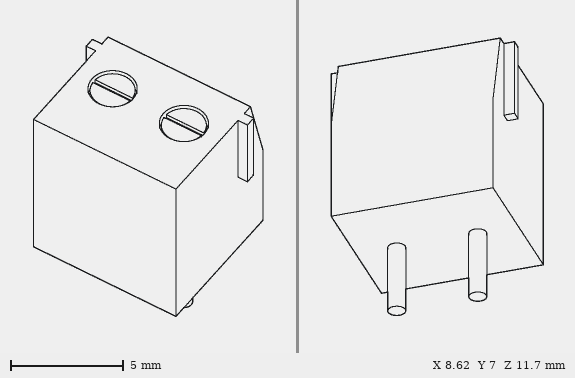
import cadquery as cq

pole_count = 2
overall_height = 11.67
overall_width = 8.62
housing_width = 7.62
housing_depth = 7.0
housing_height = 8.38
pole_pitch = housing_width / pole_count

upper_zone_height = 3.73
slope_setback = 1.0
rib_thickness = 0.5
rib_rear_inset = 1.5

well_diameter = 2.19
well_depth = 0.5
screw_diameter = 2.01
screw_recess = 0.1
slot_width = 0.2
slot_depth = 0.2

pin_diameter = 0.8
pin_length = overall_height - housing_height

rear_y = housing_depth / 2
first_pole_x = (pole_pitch - housing_width) / 2
pole_positions = [(first_pole_x + i * pole_pitch, 0) for i in range(pole_count)]


def make_housing():
    """Block with a sloped rear upper edge, extruded along X."""
    return (
        cq.Workplane("YZ")
        .moveTo(-rear_y, 0)
        .lineTo(rear_y, 0)
        .lineTo(rear_y, housing_height - upper_zone_height)
        .lineTo(rear_y - slope_setback, housing_height)
        .lineTo(-rear_y, housing_height)
        .close()
        .extrude(housing_width / 2, both=True)
    )


def make_ribs():
    """One bar across the housing whose ends stand out as the two side ribs."""
    rib_y = rear_y - rib_rear_inset - rib_thickness / 2
    return (
        cq.Workplane("XY", origin=(0, rib_y, housing_height))
        .rect(overall_width, rib_thickness)
        .extrude(-upper_zone_height)
    )


def make_wells():
    """Round cutters that sink a well for each screw into the top face."""
    return (
        cq.Workplane("XY", origin=(0, 0, housing_height))
        .pushPoints(pole_positions)
        .circle(well_diameter / 2)
        .extrude(-well_depth)
    )


def make_screws():
    """Screw heads on the well floors, each with a slot along X across its top."""
    head_height = well_depth - screw_recess
    heads = (
        cq.Workplane("XY", origin=(0, 0, housing_height - well_depth))
        .pushPoints(pole_positions)
        .circle(screw_diameter / 2)
        .extrude(head_height)
    )
    slots = (
        cq.Workplane("XY", origin=(0, 0, housing_height - screw_recess))
        .pushPoints(pole_positions)
        .rect(screw_diameter, slot_width)
        .extrude(-slot_depth)
    )
    return heads.cut(slots)


def make_pins():
    """Round solder pins, one under each screw."""
    return (
        cq.Workplane("XY")
        .pushPoints(pole_positions)
        .circle(pin_diameter / 2)
        .extrude(-pin_length)
    )


body = make_housing().union(make_ribs()).cut(make_wells())
result = body.union(make_screws()).union(make_pins())